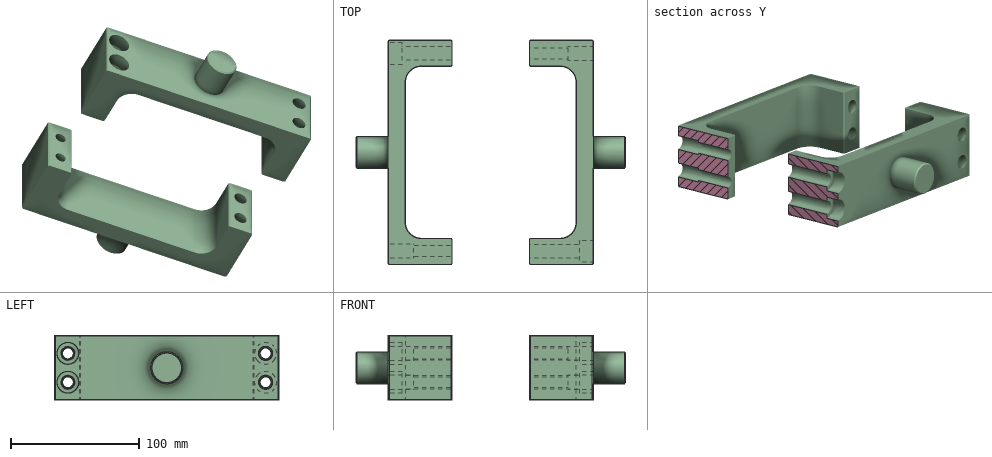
import cadquery as cq

bracket_length = 175.0
bracket_depth = 50.0
bracket_height = 50.0
web_thickness = 13.5
arm_width = 20.5
corner_radius = 12.5
edge_chamfer = 1.0
jaw_gap = 60.0

trunnion_diameter = 25.0
trunnion_length = 25.0
trunnion_chamfer = 1.0

bolt_spacing = 22.5
bolt_edge_distance = 10.5
clearance_diameter = 10.5
counterbore_diameter = 17.0
counterbore_depth = 11.0
thread_hole_diameter = 8.5
thread_relief_diameter = 11.0
thread_relief_depth = 20.0

outer_face_x = -(jaw_gap / 2 + bracket_depth)
jaw_face_x = -jaw_gap / 2
web_inner_x = outer_face_x + web_thickness
window_length = bracket_length - 2 * arm_width
bolt_y = bracket_length / 2 - bolt_edge_distance


def c_body():
    """C-shaped block with a rounded window that opens toward the jaw face."""
    block = cq.Workplane("XY").box(bracket_depth, bracket_length, bracket_height)
    block = block.translate(((outer_face_x + jaw_face_x) / 2, 0, 0))
    window_depth = jaw_face_x - web_inner_x
    window = cq.Workplane("XY").box(window_depth, window_length, bracket_height)
    window = window.translate((web_inner_x + window_depth / 2, 0, 0))
    window = window.edges("|Z and <X").fillet(corner_radius)
    body = block.cut(window)
    return body.edges("|Z and (<X or >X)").chamfer(edge_chamfer)


def trunnion():
    """Round pin that stands on the outer face, chamfered at its free end."""
    pin = cq.Workplane("YZ", origin=(outer_face_x, 0, 0))
    pin = pin.circle(trunnion_diameter / 2).extrude(-trunnion_length)
    return pin.faces("<X").chamfer(trunnion_chamfer)


def bolt_bores(y, diameter, depth):
    """Pair of bores that enter an arm from the outer face."""
    bores = cq.Workplane("YZ", origin=(outer_face_x, y, 0))
    bores = bores.rarray(1, bolt_spacing, 1, 2).circle(diameter / 2)
    return bores.extrude(depth)


def bracket():
    """One bracket: counterbored holes in the +Y arm, threaded holes in the -Y arm."""
    body = c_body().union(trunnion())
    body = body.cut(bolt_bores(bolt_y, clearance_diameter, bracket_depth))
    body = body.cut(bolt_bores(bolt_y, counterbore_diameter, counterbore_depth))
    body = body.cut(bolt_bores(-bolt_y, thread_hole_diameter, bracket_depth))
    return body.cut(bolt_bores(-bolt_y, thread_relief_diameter, thread_relief_depth))


brackets = []
for turn in (0, 180):
    brackets.append(bracket().rotate((0, 0, 0), (0, 0, 1), turn).val())

result = cq.Compound.makeCompound(brackets)